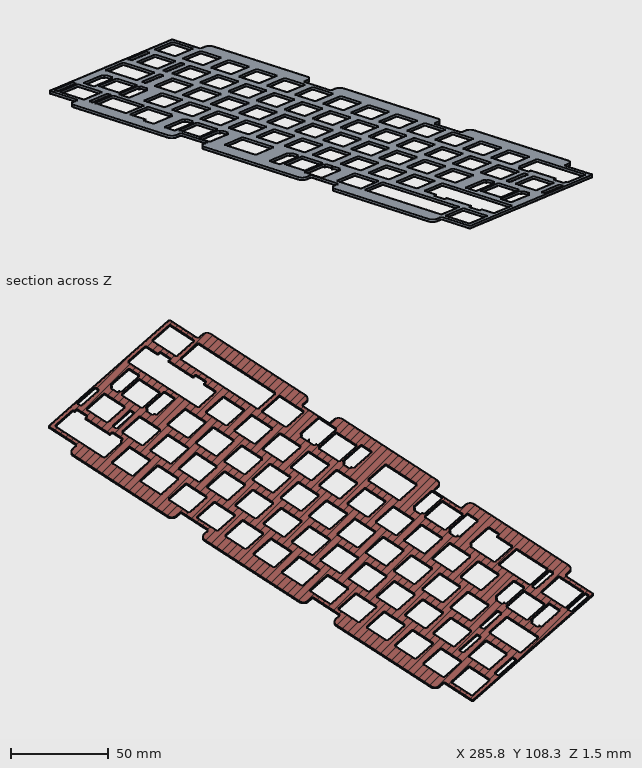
import cadquery as cq

length = 285.8
columns = 15
rows = 5
pitch = length / columns
width = rows * pitch
thickness = 1.5
corner_radius = 0.51

overall_width = 108.3
tab_length = 70.0
tab_spacing = 88.5
tab_corner_radius = 3.1
tab_root_radius = 1.0

switch_size = 14.0
opening_radius = 0.51

stabilizer_offset = 0.625 * pitch

slot_width = 2.5

stabilizer_width = 7.1
stabilizer_rear = 5.7
stabilizer_front = 9.0
relief_width = 4.5
relief_rear = switch_size / 2


def single_keys(first_centre, count):
    return [(first_centre + n, first_centre + n) for n in range(count)]


switch_rows = [
    single_keys(0.5, 13) + [(13.5, 14.5)],
    single_keys(0.75, 1) + single_keys(2.0, 12) + single_keys(14.25, 1),
    [(0.5, 0.875)] + single_keys(2.25, 11) + single_keys(13.875, 1),
    single_keys(1.125, 1) + single_keys(2.75, 10) + [(12.75, 14.5)],
    [
        (0.625, 0.75), (1.875, 2.25), (3.125, 3.125), (4.875, 4.875), (6.5, 6.875),
        (8.625, 8.625), (10.5, 10.625), (11.5, 13.5), (14.375, 14.5),
    ],
]

slot_keys = [(1, 0.75), (1, 14.25), (2, 0.875), (4, 0.75)]
stabilizer_keys = [(0, 14.0), (2, 13.875), (3, 1.125), (3, 13.625), (4, 4.875), (4, 8.625)]

space_bar_row = 4
space_bars = [(6.5, 3.0), (6.875, 2.625)]


def key_x(centre):
    return (centre - columns / 2) * pitch


def row_y(row):
    return (rows / 2 - row - 0.5) * pitch


def rounded_block(x_min, x_max, y_min, y_max, radius):
    block = cq.Workplane("XY").box(x_max - x_min, y_max - y_min, thickness, centered=False)
    return block.translate((x_min, y_min, 0)).edges("|Z").fillet(radius)


def opening(x_centre, opening_width, y_min, y_max):
    half = opening_width / 2
    return rounded_block(x_centre - half, x_centre + half, y_min, y_max, opening_radius)


def switch_opening(row, first, last):
    y = row_y(row)
    x_centre = (key_x(first) + key_x(last)) / 2
    opening_width = key_x(last) - key_x(first) + switch_size
    return opening(x_centre, opening_width, y - switch_size / 2, y + switch_size / 2)


def stabilizer_slot(row, x):
    y = row_y(row)
    return opening(x, slot_width, y - switch_size / 2, y + switch_size / 2)


def stabilizer_opening(row, x):
    y = row_y(row)
    body = opening(x, stabilizer_width, y - stabilizer_front, y + stabilizer_rear)
    relief = opening(x, relief_width, y, y + relief_rear)
    return body.union(relief)


def blank_plate():
    plate = rounded_block(-length / 2, length / 2, -width / 2, width / 2, corner_radius)
    for n in (-1, 0, 1):
        left = n * tab_spacing - tab_length / 2
        tab_pair = rounded_block(
            left, left + tab_length, -overall_width / 2, overall_width / 2, tab_corner_radius
        )
        plate = plate.union(tab_pair)
    margin = tab_root_radius
    reach_x = tab_spacing + tab_length / 2 + margin
    reach_y = width / 2 + margin
    inner_corners = cq.selectors.BoxSelector((-reach_x, -reach_y, 0), (reach_x, reach_y, thickness))
    return plate.edges("|Z").edges(inner_corners).fillet(tab_root_radius)


cutters = []
for row, spans in enumerate(switch_rows):
    for first, last in spans:
        cutters.append(switch_opening(row, first, last))
for side in (-1, 1):
    for row, centre in slot_keys:
        cutters.append(stabilizer_slot(row, key_x(centre) + side * stabilizer_offset))
    for row, centre in stabilizer_keys:
        cutters.append(stabilizer_opening(row, key_x(centre) + side * stabilizer_offset))
    for centre, offset in space_bars:
        cutters.append(stabilizer_opening(space_bar_row, key_x(centre + side * offset)))

plate_with_openings = blank_plate().val().cut(*[cutter.val() for cutter in cutters])
result = cq.Workplane(plate_with_openings).solids()